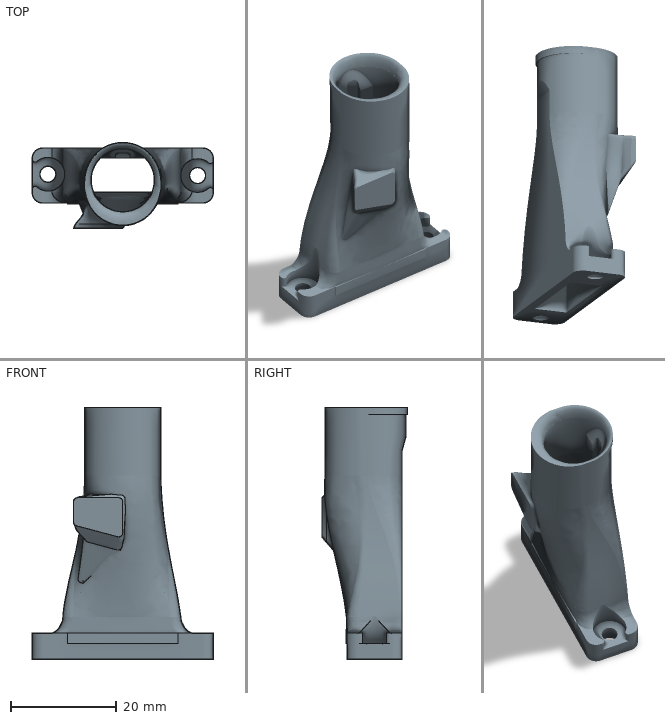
import cadquery as cq
import math

flange_length = 34.5
flange_width = 10.5
flange_height = 5.0
flange_corner_radius = 2.0
half_length = flange_length / 2
half_flange_width = flange_width / 2

screw_seats = [(-1, 0.25), (1, 0.0)]
screw_offset = 14.25
screw_hole_diameter = 3.0
seat_height = 3.0
seat_radius = 3.2
seat_cut_height = 10.0
slot_half_width = 2.3
slot_flare_radius = 0.55

total_height = 48.0
tube_base_height = 35.0
tube_radius = 7.25
tube_back_centre = -1.25
tube_front_centre = -2.2
tube_back = tube_back_centre + tube_radius
flat_back_top = 39.8
flat_back_runout = 43.2
runout_margin = 0.2

collar_height = 1.4
collar_front_edge = -1.6
collar_centre = -0.95

bore_radius = 6.0
bore_centre = -0.9
bore_straight = 0.01
mouth_depth = 2.4
mouth_rim_width = 0.1
mouth_steps = 3
duct_half_width = 9.2
duct_front = -3.15
duct_back = 3.3
duct_corner = 0.3
duct_front_bow = 0.01
rear_pad_shoulder_height = 41.2
rear_pad_top = 45.4
groove_radius = 1.4
groove_top = 43.7
groove_face = 4.3

apron_half_width = 10.5
apron_front = -5.4

foot_radius = 3.2
foot_top = 8.0
foot_bottom = 4.85
foot_top_half_width = 11.25
foot_shift = -0.17
foot_side_front = -3.2
foot_top_corner_x = 9.3
foot_bottom_corner_x = 10.6
foot_corner_y = -5.15
foot_front = -5.4
foot_back_radius = 0.8
foot_steps = 5

neck_stations = [
    dict(z=14.3, half_width=10.2, side_front=-2.5, corner=(9.0, -3.9), front=-6.4,
         back=tube_back, back_radius=1.5, shift=-0.2),
    dict(z=21.1, half_width=8.75, side_front=-1.8, corner=(8.5, -2.8), front=-7.9,
         back=tube_back, back_radius=3.0, shift=-0.08),
    dict(z=27.9, half_width=7.7, side_front=-1.6, corner=(7.5, -2.8), front=-9.2,
         back=tube_back, back_radius=5.5),
]

lug_face_y = -10.05
lug_corner_radius = 0.8
lug_face = (lug_face_y, [(-9.4, 30.8), (0.0, 30.8), (0.0, 23.1), (-9.4, 25.6)])
lug_shoulder = (-9.2, [(-9.0, 30.9), (0.7, 31.7), (0.2, 22.1), (-8.9, 24.4)])
lug_waist = (-7.9, [(-8.0, 31.1), (0.85, 31.8), (-0.2, 20.6), (-7.2, 22.5)])
lug_root = (-4.75, [(-6.0, 31.8), (0.85, 31.8), (-0.9, 12.5), (-8.6, 14.8)])

DIAGONAL = math.sqrt(0.5)
ARC_SPLIT = math.radians(10)
ROUND_BACK_SHARE = 0.999


def section(z, half_width, side_front, corner, front, back, back_radius, shift=0):
    """Closed wire at height z about X = shift: flat sides, rounded back corners and a bowed front.

    side_front is the Y where each flat side ends and corner is the (x, y) where the front bow starts.
    """
    corner_x, corner_y = corner
    back_x = half_width - back_radius
    side_back = back - back_radius
    corner_mid = (
        corner_x + (half_width - corner_x) * DIAGONAL,
        side_front + (corner_y - side_front) * DIAGONAL,
    )
    back_mid = (back_x + back_radius * DIAGONAL, side_back + back_radius * DIAGONAL)
    return (
        cq.Workplane("XY", origin=(shift, 0, z))
        .moveTo(-back_x, back)
        .lineTo(back_x, back)
        .threePointArc(back_mid, (half_width, side_back))
        .lineTo(half_width, side_front)
        .threePointArc(corner_mid, corner)
        .threePointArc((0, front), (-corner_x, corner_y))
        .threePointArc((-corner_mid[0], corner_mid[1]), (-half_width, side_front))
        .lineTo(-half_width, side_back)
        .threePointArc((-back_mid[0], back_mid[1]), (-back_x, back))
        .close()
        .val()
    )


def round_section(z, radius, back_centre, front_centre):
    """Two half circles joined by straight sides, split to match the other sections."""
    corner = (radius * math.cos(ARC_SPLIT), front_centre - radius * math.sin(ARC_SPLIT))
    back_radius = radius * ROUND_BACK_SHARE
    return section(
        z, radius, front_centre, corner, front_centre - radius, back_centre + radius, back_radius
    )


def loft(wires, ruled=False):
    return cq.Workplane(obj=cq.Solid.makeLoft(wires, ruled))


def box(x_range, y_range, z_range):
    sizes = [high - low for low, high in (x_range, y_range, z_range)]
    return cq.Workplane("XY").box(*sizes, centered=False).translate((x_range[0], y_range[0], z_range[0]))


def make_flange():
    return (
        cq.Workplane("XY")
        .rect(flange_length, flange_width)
        .extrude(flange_height)
        .edges("|Z")
        .fillet(flange_corner_radius)
    )


def make_tube():
    bottom = round_section(tube_base_height, tube_radius, tube_back_centre, tube_front_centre)
    top = round_section(total_height, tube_radius, tube_back_centre, tube_front_centre)
    return loft([bottom, top], ruled=True)


def make_collar():
    collar_bottom = total_height - collar_height
    rear_half = box(
        (-half_length, half_length), (collar_front_edge, half_length), (collar_bottom, total_height)
    )
    return (
        cq.Workplane("XY", origin=(0, collar_centre, collar_bottom))
        .circle(tube_radius)
        .extrude(collar_height)
        .intersect(rear_half)
    )


def make_neck():
    """Transition from the wide foot up to the round tube."""
    foot = section(
        foot_top, foot_top_half_width, foot_side_front, (foot_top_corner_x, foot_corner_y),
        foot_front, tube_back, foot_back_radius, foot_shift,
    )
    stations = [section(**station) for station in neck_stations]
    top = round_section(tube_base_height, tube_radius, tube_back_centre, tube_front_centre)
    return loft([foot, *stations, top])


def make_foot():
    """Concave rounded flare from the neck out onto the flange, sunk a little into it."""
    end_angle = math.asin((foot_top - foot_bottom) / foot_radius)
    wires = []
    for step in range(foot_steps + 1):
        angle = end_angle * step / foot_steps
        spread = 1 - math.cos(angle)
        z = foot_top - foot_radius * math.sin(angle)
        corner_x = foot_top_corner_x + (foot_bottom_corner_x - foot_top_corner_x) * spread
        wires.append(
            section(
                z, foot_top_half_width + foot_radius * spread, foot_side_front,
                (corner_x, foot_corner_y), foot_front, tube_back, foot_back_radius, foot_shift,
            )
        )
    return loft(wires)


def make_apron():
    return box(
        (-apron_half_width, apron_half_width), (apron_front, 0), (seat_height, flange_height)
    )


def lug_outline(y, corners):
    wire = cq.Workplane("XZ", origin=(0, y, 0)).polyline(corners).close().val()
    return wire.fillet2D(lug_corner_radius, wire.Vertices())


def make_lug():
    outlines = [lug_outline(y, corners) for y, corners in (lug_face, lug_shoulder, lug_waist, lug_root)]
    return loft(outlines, ruled=True)


def make_back_trim():
    """Everything behind the flat back, running out at the upper part of the tube."""
    return (
        cq.Workplane("YZ", origin=(-half_length, 0, 0))
        .polyline([
            (half_flange_width, 0),
            (half_flange_width, flat_back_top),
            (tube_back + runout_margin, flat_back_runout),
            (half_length, flat_back_runout),
            (half_length, 0),
        ])
        .close()
        .extrude(flange_length)
    )


def make_rear_pad():
    """Thick rear wall inside the passage, sloping out to the bore and grooved down its middle."""
    pad = (
        cq.Workplane("YZ", origin=(-half_length, 0, 0))
        .polyline([
            (duct_back, 0),
            (duct_back, rear_pad_shoulder_height),
            (bore_centre + bore_radius, rear_pad_top),
            (half_length, rear_pad_top),
            (half_length, 0),
        ])
        .close()
        .extrude(flange_length)
    )
    groove_bottom = tube_base_height
    groove_length = groove_top - groove_radius - groove_bottom
    groove = (
        cq.Workplane("XZ", origin=(0, groove_face, groove_bottom))
        .moveTo(-groove_radius, 0)
        .lineTo(groove_radius, 0)
        .lineTo(groove_radius, groove_length)
        .threePointArc((0, groove_length + groove_radius), (-groove_radius, groove_length))
        .close()
        .extrude(groove_face)
    )
    return pad.cut(groove)


def make_passage():
    """Rectangular duct rising into the round bore, narrowed by the rear pad."""
    inlet = section(
        0, duct_half_width, duct_front + duct_corner, (duct_half_width - duct_corner, duct_front),
        duct_front - duct_front_bow, duct_back, duct_corner,
    )
    bore_bottom = round_section(tube_base_height, bore_radius, bore_centre, bore_centre - bore_straight)
    duct = loft([inlet, bore_bottom])
    bore = (
        cq.Workplane("XY", origin=(0, bore_centre, tube_base_height))
        .circle(bore_radius)
        .extrude(total_height - tube_base_height)
    )
    return duct.union(bore).cut(make_rear_pad())


def make_mouth():
    """Rounded funnel from the bore out to the thin rim of the tube."""
    rim_radius = tube_radius - mouth_rim_width
    wires = []
    for step in range(mouth_steps + 1):
        angle = math.pi / 2 * step / mouth_steps
        spread = 1 - math.cos(angle)
        z = total_height - mouth_depth + mouth_depth * math.sin(angle)
        radius = bore_radius + (rim_radius - bore_radius) * spread
        front_centre = bore_centre - bore_straight + (tube_front_centre - bore_centre) * spread
        wires.append(round_section(z, radius, bore_centre, front_centre))
    return loft(wires)


def make_screw_cut(side, hole_y):
    """Through hole with a round seat that opens at the flange end by a flared slot."""
    slot_end = half_length - screw_offset
    flare_start = slot_end - slot_flare_radius
    flare_edge = slot_half_width + slot_flare_radius
    flare_mid = (
        flare_start + slot_flare_radius * DIAGONAL,
        flare_edge - slot_flare_radius * DIAGONAL,
    )
    seat = cq.Workplane("XY").circle(seat_radius).extrude(seat_cut_height)
    slot = (
        cq.Workplane("XY")
        .moveTo(0, -slot_half_width)
        .lineTo(flare_start, -slot_half_width)
        .threePointArc((flare_mid[0], -flare_mid[1]), (slot_end, -flare_edge))
        .lineTo(slot_end, flare_edge)
        .threePointArc(flare_mid, (flare_start, slot_half_width))
        .lineTo(0, slot_half_width)
        .close()
        .extrude(flange_height)
    )
    hole = (
        cq.Workplane("XY", origin=(0, 0, -seat_height))
        .circle(screw_hole_diameter / 2)
        .extrude(flange_height)
    )
    cut = seat.union(slot).union(hole)
    if side < 0:
        cut = cut.mirror("YZ")
    return cut.translate((side * screw_offset, hole_y, seat_height))


body = make_neck().union(make_foot()).union(make_tube()).union(make_lug())
body = body.cut(make_back_trim())
body = body.union(make_flange()).union(make_apron()).union(make_collar())
body = body.cut(make_passage()).cut(make_mouth())
for seat_side, seat_y in screw_seats:
    body = body.cut(make_screw_cut(seat_side, seat_y))

result = body